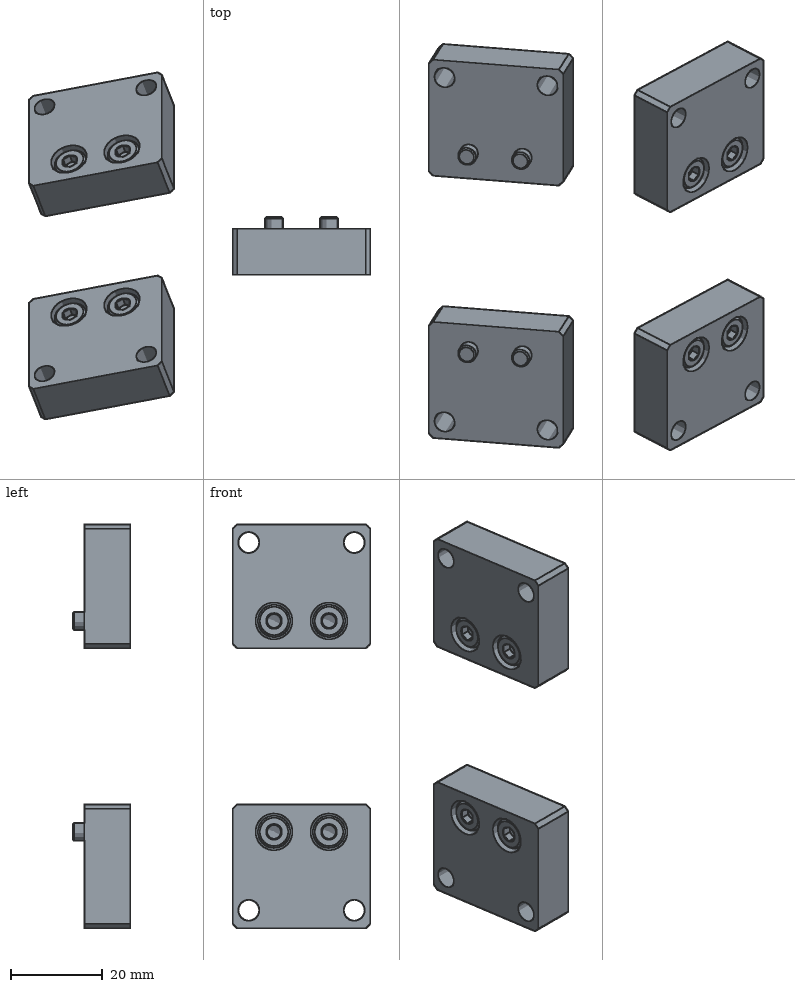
import cadquery as cq
import math

OVERALL_HEIGHT = 88.0

PLATE_WIDTH = 30.0
PLATE_THICKNESS = 10.0
PLATE_HEIGHT = 27.0
CORNER_CHAMFER = 1.0

MOUNT_DIAMETER = 4.5
MOUNT_SPACING = 23.0
MOUNT_EDGE_DISTANCE = 4.0

SCREW_SPACING = 12.0
SCREW_EDGE_DISTANCE = 6.0
SHANK_DIAMETER = 4.0
SHANK_PROTRUSION = 2.55
TIP_CHAMFER = 0.35
HEAD_DIAMETER = 7.0
HEAD_HEIGHT = 4.0
HEAD_CHAMFER = 0.4
SOCKET_WIDTH = 3.0
SOCKET_DEPTH = 2.0
DRILL_POINT_ANGLE = 120.0

COUNTERBORE_DIAMETER = 8.0
HEAD_SINK = 0.6
COUNTERBORE_DEPTH = HEAD_SINK + HEAD_HEIGHT

SCREW_TIP_Y = PLATE_THICKNESS + SHANK_PROTRUSION
OUTER_EDGE_Z = OVERALL_HEIGHT / 2
INNER_EDGE_Z = OUTER_EDGE_Z - PLATE_HEIGHT
MOUNT_Z = OUTER_EDGE_Z - MOUNT_EDGE_DISTANCE
SCREW_Z = INNER_EDGE_Z + SCREW_EDGE_DISTANCE

SIDES = (1, -1)


def rod(x, z, diameter, y_start, y_end):
    """Cylinder along Y between two Y positions."""
    return (
        cq.Workplane("XZ", origin=(x, y_start, z))
        .circle(diameter / 2)
        .extrude(y_start - y_end)
    )


def make_plate(side):
    """Upper (side 1) or lower (side -1) plate with mounting holes and counterbored screw holes."""
    plate = (
        cq.Workplane("XY")
        .box(PLATE_WIDTH, PLATE_THICKNESS, PLATE_HEIGHT)
        .edges("|Y")
        .chamfer(CORNER_CHAMFER)
        .translate((0, PLATE_THICKNESS / 2, side * (OUTER_EDGE_Z - PLATE_HEIGHT / 2)))
    )
    for across in SIDES:
        mount_x = across * MOUNT_SPACING / 2
        screw_x = across * SCREW_SPACING / 2
        plate = (
            plate
            .cut(rod(mount_x, side * MOUNT_Z, MOUNT_DIAMETER, 0, PLATE_THICKNESS))
            .cut(rod(screw_x, side * SCREW_Z, COUNTERBORE_DIAMETER, 0, COUNTERBORE_DEPTH))
            .cut(rod(screw_x, side * SCREW_Z, SHANK_DIAMETER, 0, PLATE_THICKNESS))
        )
    return plate


def cone_along_y(x, y, z, base_diameter):
    """Cone with its base at y and its point toward +Y, at the drill point angle."""
    depth = base_diameter / 2 / math.tan(math.radians(DRILL_POINT_ANGLE / 2))
    cone = cq.Solid.makeCone(base_diameter / 2, 0, depth, cq.Vector(x, y, z), cq.Vector(0, 1, 0))
    return cq.Workplane(obj=cone)


def make_socket(x, z):
    """Hexagonal driver socket, corners up and down, with a countersunk mouth and a conical bottom."""
    corner_diameter = 2 * SOCKET_WIDTH / math.sqrt(3)
    hexagon = (
        cq.Workplane("XZ", origin=(x, HEAD_SINK, z))
        .transformed(rotate=(0, 0, 90))
        .polygon(6, corner_diameter)
        .extrude(-SOCKET_DEPTH)
    )
    mouth = cone_along_y(x, HEAD_SINK, z, corner_diameter)
    bottom = cone_along_y(x, HEAD_SINK + SOCKET_DEPTH, z, SOCKET_WIDTH)
    return hexagon.union(mouth).union(bottom)


def make_screw(x, z):
    """Socket-head screw along Y: its head rests in the counterbore and its tip stands out at the back."""
    head = (
        rod(x, z, HEAD_DIAMETER, HEAD_SINK, COUNTERBORE_DEPTH)
        .faces("<Y")
        .chamfer(HEAD_CHAMFER)
    )
    shank = (
        rod(x, z, SHANK_DIAMETER, COUNTERBORE_DEPTH, SCREW_TIP_Y)
        .faces(">Y")
        .chamfer(TIP_CHAMFER)
    )
    return head.union(shank).cut(make_socket(x, z))


plates = [make_plate(side) for side in SIDES]
screws = [
    make_screw(across * SCREW_SPACING / 2, side * SCREW_Z)
    for side in SIDES
    for across in SIDES
]

result = cq.Compound.makeCompound([body.val() for body in plates + screws])